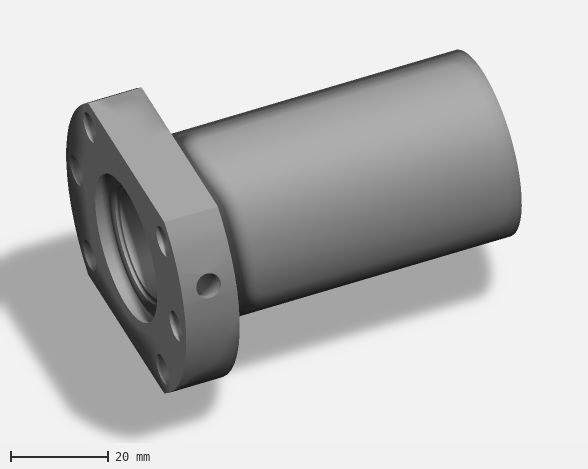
import cadquery as cq
import math

total_length = 80.0
body_diameter = 40.0
flange_diameter = 62.0
flange_height = 48.0
flange_thickness = 12.0

bore_diameter = 24.0
recess_diameter = 32.0
recess_depth = 3.2
step_diameter = 26.0
step_depth = 0.7

mount_hole_diameter = 6.6
side_hole_x = 25.6
corner_hole_x = 18.8
corner_hole_z = 17.9

oil_hole_diameter = 5.4
oil_hole_angle = 22.0


def cylinder(diameter, start_y, length, x=0.0, z=0.0):
    """Solid cylinder along +Y, starting at start_y."""
    return cq.Workplane(cq.Solid.makeCylinder(
        diameter / 2, length, cq.Vector(x, start_y, z), cq.Vector(0, 1, 0)))


def make_flange():
    """Round flange with flats on its top and bottom."""
    flats = cq.Workplane("XY").box(
        flange_diameter, flange_thickness, flange_height, centered=(True, False, True))
    return cylinder(flange_diameter, 0, flange_thickness).intersect(flats)


def make_bore():
    """Through bore with a recess at its mouth and a shallow step in the recess floor."""
    bore = cylinder(bore_diameter, 0, total_length)
    recess = cylinder(recess_diameter, 0, recess_depth)
    step = cylinder(step_diameter, recess_depth, step_depth)
    return bore.union(recess).union(step)


def make_oil_hole():
    """Radial hole from the bore axis out through the flange rim, at mid thickness."""
    angle = math.radians(oil_hole_angle)
    return cq.Workplane(cq.Solid.makeCylinder(
        oil_hole_diameter / 2, flange_diameter,
        cq.Vector(0, flange_thickness / 2, 0),
        cq.Vector(math.cos(angle), 0, math.sin(angle))))


result = make_flange().union(cylinder(body_diameter, 0, total_length))
result = result.cut(make_bore()).cut(make_oil_hole())

for side in (-1, 1):
    hole_places = [
        (side * side_hole_x, 0),
        (side * corner_hole_x, corner_hole_z),
        (side * corner_hole_x, -corner_hole_z),
    ]
    for x, z in hole_places:
        result = result.cut(cylinder(mount_hole_diameter, 0, flange_thickness, x, z))